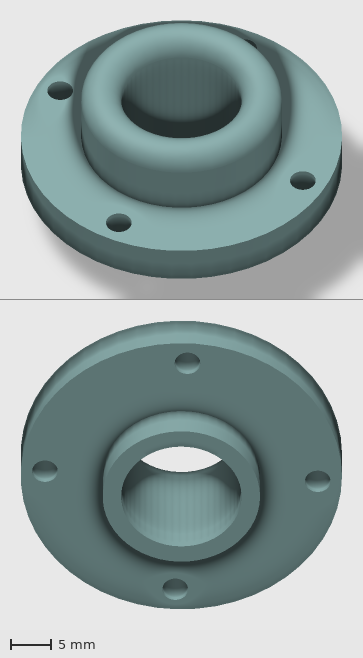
import cadquery as cq
import math

flange_diameter = 40.0
flange_thickness = 5.0

collar_diameter = 25.0
collar_height = 8.75

spigot_diameter = 19.6
spigot_length = 4.5

bore_diameter = 15.0

hole_diameter = 3.2
hole_circle_diameter = 34.0
hole_count = 4
first_hole_angle = 45.0

bore_radius = bore_diameter / 2
collar_radius = collar_diameter / 2
flange_radius = flange_diameter / 2
spigot_radius = spigot_diameter / 2
collar_top = flange_thickness + collar_height
rim_radius = (collar_radius - bore_radius) / 2
rim_centre_z = collar_top - rim_radius
rim_middle_radius = bore_radius + rim_radius


def turned_body():
    """Revolve the half section; the collar wall ends in a half-round rim."""
    return (
        cq.Workplane("XZ")
        .moveTo(bore_radius, -spigot_length)
        .lineTo(spigot_radius, -spigot_length)
        .lineTo(spigot_radius, 0)
        .lineTo(flange_radius, 0)
        .lineTo(flange_radius, flange_thickness)
        .lineTo(collar_radius, flange_thickness)
        .lineTo(collar_radius, rim_centre_z)
        .threePointArc((rim_middle_radius, collar_top), (bore_radius, rim_centre_z))
        .close()
        .revolve(360, (0, 0, 0), (0, 1, 0))
    )


def mounting_holes():
    """Cylinders to cut from the flange, evenly spaced on the hole circle."""
    centres = []
    for index in range(hole_count):
        angle = math.radians(first_hole_angle + index * 360 / hole_count)
        x = hole_circle_diameter / 2 * math.cos(angle)
        y = hole_circle_diameter / 2 * math.sin(angle)
        centres.append((x, y))
    return (
        cq.Workplane("XY")
        .pushPoints(centres)
        .circle(hole_diameter / 2)
        .extrude(flange_thickness)
    )


result = turned_body().cut(mounting_holes())